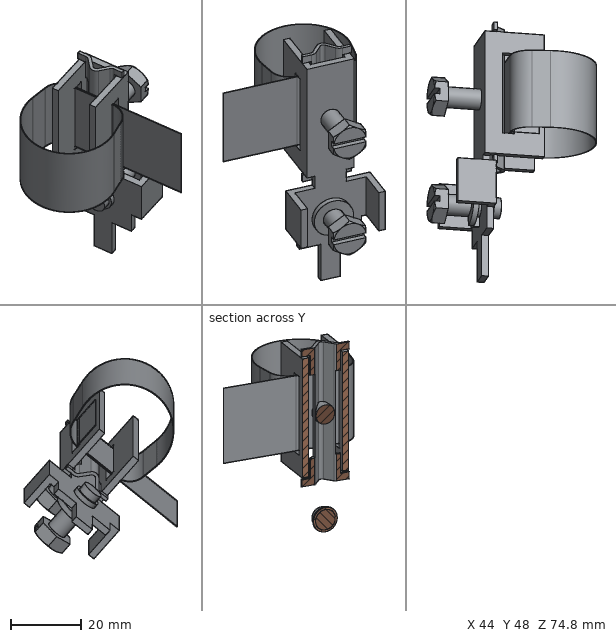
import cadquery as cq
import math


sheet = 2.0
arm_outer_x = 7.3
arm_reach = 15.25
arm_height = 36.5
clamp_z = 32.2
arm_slot_height = 24.0
arm_slot_near_y = -3.15
arm_slot_far_y = -6.55
neck_width = 9.7
wing_outer_x = 13.0
wing_top_z = 9.9
wing_bottom_z = -2.95
wing_rear_y = 11.2
shoulder_width = 19.2
shoulder_bottom_z = -9.4
tongue_width = 6.0
tongue_bottom_z = -21.55
boss_diameter = 7.6
boss_height = 1.5

screw_diameter = 6.0
screw_length = 16.0
screw_tip_y = -3.8
head_height = 4.0
head_across_flats = 10.0
head_chamfer_angle = math.radians(30)
driver_slot_width = 1.6
driver_slot_depth = 1.6
screw_seat_y = screw_tip_y + screw_length
head_rear_y = screw_seat_y + head_height

washer_inner_diameter = 6.2
washer_outer_diameter = 11.8
washer_thickness = 1.6
washer_rise = 1.75
washer_turn = 356.0

plate_sheet = 1.0
plate_height = 42.0
plate_rear_y = -0.6
plate_front_y = -5.3
plate_width = 15.0
plate_slope = math.radians(49)
valley_outer_radius = 2.0
bend_inner_radius = 1.5
plate_notch_height = 37.5
plate_notch_inner_x = 4.8
plate_waist_height = 25.4
plate_waist_width = 6.5

band_thickness = 0.25
band_layer_gap = 0.05
band_height = 23.0
band_radius = 14.0
band_corner_radius = 6.0
band_side_tilt = math.radians(9)
overall_depth = 47.99
overall_width = 43.95
band_front_y = head_rear_y - overall_depth
band_center_y = band_front_y + band_radius
tail_end_x = overall_width - band_radius
tab_end_y = -13.75


def block(x_range, y_range, z_range):
    """Box spanning the given (low, high) limits on each axis."""
    size = [high - low for low, high in (x_range, y_range, z_range)]
    corner = cq.Vector(x_range[0], y_range[0], z_range[0])
    return cq.Workplane("XY").box(*size, centered=False).translate(corner)


def centered(middle, length):
    """Limits of a length centred on a middle value."""
    return (middle - length / 2, middle + length / 2)


def rod(diameter, z, start_y, end_y):
    """Cylinder parallel to Y at height z."""
    plane = cq.Workplane("XZ", origin=(0, end_y, z))
    return plane.circle(diameter / 2).extrude(end_y - start_y)


def on_circle(center, radius, angle):
    """Point of a circle at an angle measured from +X."""
    return (center[0] + radius * math.cos(angle), center[1] + radius * math.sin(angle))


def make_bracket():
    arm_z = centered(clamp_z, arm_height)
    base_y = (0, sheet)
    body = block((-arm_outer_x, arm_outer_x), base_y, arm_z)
    body = body.union(block(centered(0, neck_width), base_y, (wing_top_z, arm_z[0])))
    body = body.union(block((-wing_outer_x, wing_outer_x), base_y, (wing_bottom_z, wing_top_z)))
    body = body.union(block(centered(0, shoulder_width), base_y, (shoulder_bottom_z, wing_bottom_z)))
    body = body.union(block(centered(0, tongue_width), base_y, (tongue_bottom_z, shoulder_bottom_z)))

    for side in (-1, 1):
        arm_x = centered(side * (arm_outer_x - sheet / 2), sheet)
        body = body.union(block(arm_x, (-arm_reach, sheet), arm_z))
        wing_x = centered(side * (wing_outer_x - sheet / 2), sheet)
        body = body.union(block(wing_x, (0, wing_rear_y), (wing_bottom_z, wing_top_z)))

    window_y = (arm_slot_far_y, arm_slot_near_y)
    window_z = centered(clamp_z, arm_slot_height)
    body = body.cut(block((-arm_outer_x, arm_outer_x), window_y, window_z))

    body = body.union(rod(boss_diameter, 0, -boss_height, 0))
    for z in (0, clamp_z):
        body = body.cut(rod(screw_diameter, z, -boss_height, sheet))
    return body


def make_screw(z):
    corner_diameter = head_across_flats / math.cos(math.pi / 6)
    chamfer_drop = (corner_diameter - head_across_flats) / 2 * math.tan(head_chamfer_angle)
    head = (
        cq.Workplane("XY")
        .polygon(6, corner_diameter)
        .extrude(head_height)
        .rotate((0, 0, 0), (0, 0, 1), 90)
    )
    envelope = (
        cq.Workplane("XZ")
        .polyline([
            (0, 0),
            (corner_diameter / 2, 0),
            (corner_diameter / 2, head_height - chamfer_drop),
            (head_across_flats / 2, head_height),
            (0, head_height),
        ])
        .close()
        .revolve(360, (0, 0), (0, 1))
    )
    head = head.intersect(envelope)
    head = head.rotate((0, 0, 0), (1, 0, 0), -90).translate((0, screw_seat_y, z))
    driver_slot = block(
        centered(0, corner_diameter),
        (head_rear_y - driver_slot_depth, head_rear_y),
        centered(z, driver_slot_width),
    )
    return head.cut(driver_slot).union(rod(screw_diameter, z, screw_tip_y, screw_seat_y))


def make_spring_washer():
    mean_radius = (washer_inner_diameter + washer_outer_diameter) / 4
    radial_width = (washer_outer_diameter - washer_inner_diameter) / 2
    turn = washer_turn / 360
    helix = cq.Wire.makeHelix(washer_rise, washer_rise * turn, mean_radius, lefthand=True)
    coil = (
        cq.Workplane("XZ")
        .center(mean_radius, 0)
        .rect(radial_width, washer_thickness)
        .sweep(cq.Workplane(helix), isFrenet=True)
    )
    coil = coil.rotate((0, 0, 0), (0, 0, 1), 90).rotate((0, 0, 0), (1, 0, 0), -90)
    return coil.translate((0, sheet + washer_thickness / 2, 0))


def make_pressure_plate():
    valley = (0, plate_front_y + valley_outer_radius)
    bend_y = plate_rear_y - plate_sheet - bend_inner_radius
    rise = bend_y - valley[1]
    radius_sum = valley_outer_radius + bend_inner_radius
    bend_x = (radius_sum + rise * math.cos(plate_slope)) / math.sin(plate_slope)
    bend = (bend_x, bend_y)
    down = -math.pi / 2
    up = math.pi / 2

    def face_points(depth):
        """Points of one sheet face, a depth behind the cable-side face, from valley to edge."""
        valley_radius = valley_outer_radius - depth
        bend_radius = bend_inner_radius + depth
        return [
            on_circle(valley, valley_radius, down),
            on_circle(valley, valley_radius, down + plate_slope / 2),
            on_circle(valley, valley_radius, down + plate_slope),
            on_circle(bend, bend_radius, up + plate_slope),
            on_circle(bend, bend_radius, up + plate_slope / 2),
            on_circle(bend, bend_radius, up),
            (plate_width / 2, bend_y + bend_radius),
        ]

    front = face_points(0)
    rear = face_points(plate_sheet)
    plate_z = centered(clamp_z, plate_height)
    half = (
        cq.Workplane("XY", origin=(0, 0, plate_z[0]))
        .moveTo(*front[0])
        .threePointArc(front[1], front[2])
        .lineTo(*front[3])
        .threePointArc(front[4], front[5])
        .lineTo(*front[6])
        .lineTo(*rear[6])
        .lineTo(*rear[5])
        .threePointArc(rear[4], rear[3])
        .lineTo(*rear[2])
        .threePointArc(rear[1], rear[0])
        .close()
        .extrude(plate_height)
    )
    depth_y = (plate_front_y, plate_rear_y)
    edge_x = plate_width / 2
    half = half.cut(block((plate_notch_inner_x, edge_x), depth_y, centered(clamp_z, plate_notch_height)))
    half = half.cut(block((plate_waist_width / 2, edge_x), depth_y, centered(clamp_z, plate_waist_height)))
    plate = half.union(half.mirror("YZ")).clean()
    return plate.cut(rod(screw_diameter, clamp_z, screw_tip_y, 0))


def band_side_points(side, top_y, inset):
    """Points of one band face from the flat top down one side to where the loop begins."""
    corner_y = top_y - band_corner_radius
    rise = corner_y - band_center_y
    radius_gap = band_radius - band_corner_radius
    corner_x = (radius_gap - rise * math.sin(band_side_tilt)) / math.cos(band_side_tilt)
    corner = (corner_x, corner_y)
    corner_radius = band_corner_radius - inset
    points = [
        on_circle(corner, corner_radius, math.pi / 2),
        on_circle(corner, corner_radius, (math.pi / 2 + band_side_tilt) / 2),
        on_circle(corner, corner_radius, band_side_tilt),
        on_circle((0, band_center_y), band_radius - inset, band_side_tilt),
    ]
    return [(side * x, y) for x, y in points]


def make_band():
    outer_top_y = plate_front_y
    outer_bottom_y = outer_top_y - band_thickness
    inner_top_y = outer_bottom_y - band_layer_gap
    inner_bottom_y = inner_top_y - band_thickness
    tab_inner_x = -arm_outer_x
    tab_outer_x = tab_inner_x - band_thickness
    loop_bottom = (0, band_front_y)
    loop_bottom_inside = (0, band_front_y + band_thickness)

    left_out = band_side_points(-1, outer_top_y, 0)
    left_in = band_side_points(-1, outer_top_y, band_thickness)
    right_out = band_side_points(1, inner_top_y, 0)
    right_in = band_side_points(1, inner_top_y, band_thickness)
    return (
        cq.Workplane("XY", origin=(0, 0, clamp_z - band_height / 2))
        .moveTo(tail_end_x, outer_top_y)
        .lineTo(*left_out[0])
        .threePointArc(left_out[1], left_out[2])
        .lineTo(*left_out[3])
        .threePointArc(loop_bottom, right_out[3])
        .lineTo(*right_out[2])
        .threePointArc(right_out[1], right_out[0])
        .lineTo(tab_outer_x, inner_top_y)
        .lineTo(tab_outer_x, tab_end_y)
        .lineTo(tab_inner_x, tab_end_y)
        .lineTo(tab_inner_x, inner_bottom_y)
        .lineTo(*right_in[0])
        .threePointArc(right_in[1], right_in[2])
        .lineTo(*right_in[3])
        .threePointArc(loop_bottom_inside, left_in[3])
        .lineTo(*left_in[2])
        .threePointArc(left_in[1], left_in[0])
        .lineTo(tail_end_x, outer_bottom_y)
        .close()
        .extrude(band_height)
    )


bracket = make_bracket()
screws = [make_screw(z) for z in (0, clamp_z)]
spring_washer = make_spring_washer()
pressure_plate = make_pressure_plate()
band = make_band()

result = cq.Compound.makeCompound([
    bracket.val(),
    *[screw.val() for screw in screws],
    spring_washer.val(),
    pressure_plate.val(),
    band.val(),
])